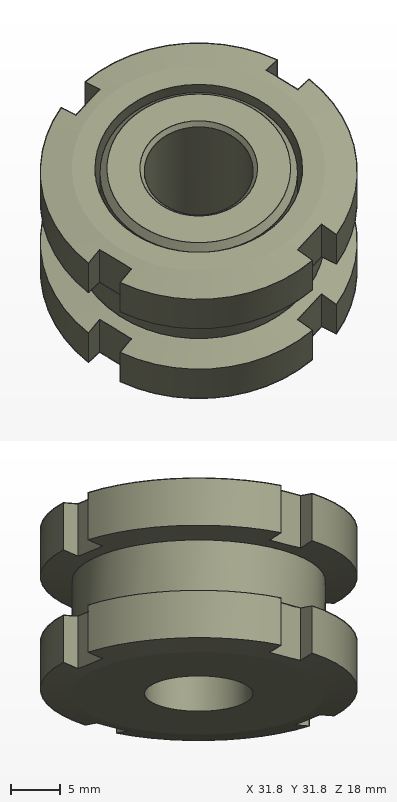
import cadquery as cq
import math

width_across_notches = 31.75
notch_width = 4.0
notch_floor_radius = 14.0
flange_height = 6.0
bevel_height = 0.48

flange_radius = math.hypot(width_across_notches / 2, notch_width / 2)
notch_count = 4

total_height = 18.0
skirt_radius = 12.8
skirt_chamfer = 0.38
sleeve_bore_radius = 10.48

stem_radius = 9.97
stem_chamfer = 0.7
stem_bore_radius = 5.5
stem_bore_chamfer = 0.45

upper_flange_base = total_height - flange_height


def cylinder(radius, base, height):
    return cq.Workplane("XY").workplane(offset=base).circle(radius).extrude(height)


def notched_flange(base):
    """Flange with shallow conical faces and notches evenly spaced around its rim."""
    top = base + flange_height
    flange = (
        cq.Workplane("XZ")
        .moveTo(0, base)
        .lineTo(skirt_radius, base)
        .lineTo(flange_radius, base + bevel_height)
        .lineTo(flange_radius, top - bevel_height)
        .lineTo(skirt_radius, top)
        .lineTo(0, top)
        .close()
        .revolve(360, (0, 0, 0), (0, 1, 0))
    )
    cutter_length = flange_radius
    notch = cq.Workplane("XY").box(
        cutter_length, notch_width, flange_height, centered=(False, True, False)
    ).translate((notch_floor_radius, 0, base))
    for index in range(notch_count):
        angle = index * 360 / notch_count
        flange = flange.cut(notch.rotate((0, 0, 0), (0, 0, 1), angle))
    return flange


def make_sleeve():
    skirt_height = upper_flange_base - flange_height
    skirt = cylinder(skirt_radius, flange_height, skirt_height).faces("<Z").chamfer(skirt_chamfer)
    bore = cylinder(sleeve_bore_radius, flange_height, total_height - flange_height)
    return notched_flange(upper_flange_base).union(skirt).cut(bore)


def make_stem():
    tube = cylinder(stem_radius, 0, total_height).faces(">Z").chamfer(stem_chamfer)
    bore = cylinder(stem_bore_radius, 0, total_height)
    stem = notched_flange(0).union(tube).cut(bore)
    return stem.faces(">Z").edges("%CIRCLE").edges(
        cq.selectors.RadiusNthSelector(0)
    ).chamfer(stem_bore_chamfer)


sleeve = make_sleeve()
stem = make_stem()

result = cq.Compound.makeCompound([sleeve.val(), stem.val()])